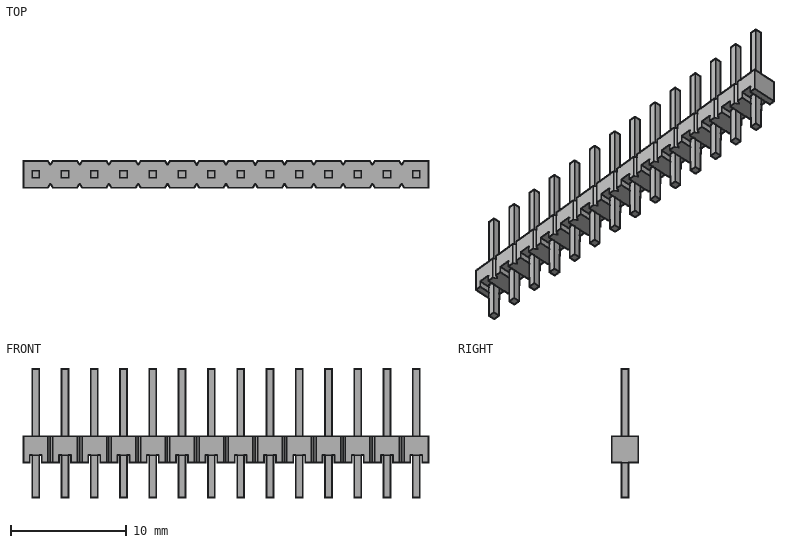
import cadquery as cq

pin_count = 14
pitch = 2.54
pin_side = 0.625
pin_above = 5.84
pin_below = 3.05

housing_length = 35.15
housing_width = 2.34
housing_height = 2.29

slot_width = 1.016
slot_depth = 0.635

notch_width = 0.413
notch_depth = 0.35

first_pin_x = -pitch * (pin_count - 1) / 2
pin_xs = [first_pin_x + i * pitch for i in range(pin_count)]
notch_xs = [x + pitch / 2 for x in pin_xs[:-1]]


def make_housing():
    return cq.Workplane("XY").box(housing_length, housing_width, housing_height, centered=(True, True, False))


def make_pins():
    """Square pins running through the full height of the housing."""
    pin_length = pin_below + housing_height + pin_above
    return (
        cq.Workplane("XY", origin=(0, 0, -pin_below))
        .pushPoints([(x, 0) for x in pin_xs])
        .rect(pin_side, pin_side)
        .extrude(pin_length)
    )


def make_slots():
    """Slots open at the underside, crossing the housing along Y."""
    return (
        cq.Workplane("XY")
        .pushPoints([(x, 0) for x in pin_xs])
        .rect(slot_width, housing_width)
        .extrude(slot_depth)
    )


def make_notch(x, side):
    """Full-height V notch at x, in the +Y (side = 1) or -Y (side = -1) wall."""
    wall_y = side * housing_width / 2
    tip_y = wall_y - side * notch_depth
    return (
        cq.Workplane("XY")
        .polyline([(x - notch_width / 2, wall_y), (x, tip_y), (x + notch_width / 2, wall_y)])
        .close()
        .extrude(housing_height)
    )


housing = make_housing().cut(make_slots())
for notch_x in notch_xs:
    for wall_side in (-1, 1):
        housing = housing.cut(make_notch(notch_x, wall_side))

result = housing.union(make_pins())